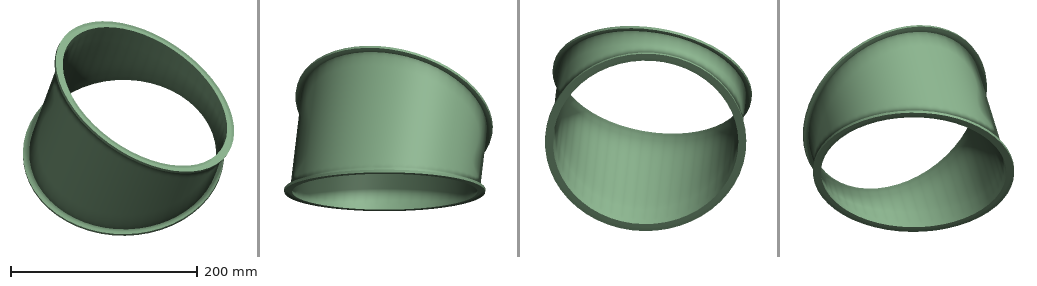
import cadquery as cq
import math

flange_diameter = 216.0
flange_thickness = 3.0
tube_outer_diameter = 203.8
bore_diameter = 199.0
bend_angle = 30.0
tube_height = 92.8

bend = math.radians(bend_angle)
tube_shift = tube_height * math.tan(bend / 2)

lower_end = cq.Plane.XY()
upper_end = cq.Plane(
    origin=(0, tube_shift, tube_height),
    xDir=(1, 0, 0),
    normal=(0, math.sin(bend), math.cos(bend)),
)


def oblique_cylinder(diameter):
    """Solid of straight lines joining equal circles on the two tube ends."""
    circles = [cq.Workplane(end).circle(diameter / 2).wires().val() for end in (lower_end, upper_end)]
    return cq.Workplane(cq.Solid.makeLoft(circles, True))


def flange_disc(end, thickness):
    """Disc on a tube end; a negative thickness extends below the end plane."""
    return cq.Workplane(end).circle(flange_diameter / 2).extrude(thickness)


tube = oblique_cylinder(tube_outer_diameter)
lower_flange = flange_disc(lower_end, flange_thickness)
upper_flange = flange_disc(upper_end, -flange_thickness)

bore = oblique_cylinder(bore_diameter)
result = tube.union(lower_flange).union(upper_flange).cut(bore)